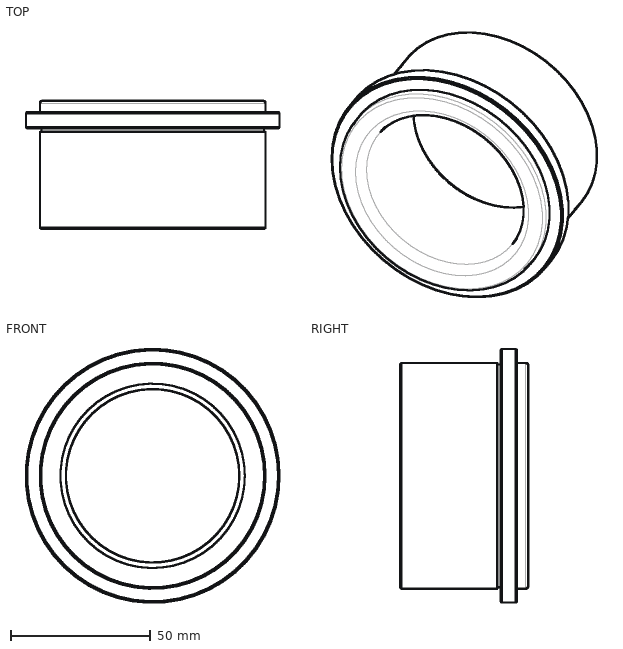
import cadquery as cq

length = 46.0
flange_radius = 45.5
body_radius = 40.5
bore_radius = 31.0

flange_width = 6.0
spigot_length = 4.0
groove_width = 1.0
groove_depth = 0.55
groove_slope = 0.3

flange_chamfer = 0.55
body_chamfer = 0.55
spigot_fillet = 1.0
bore_chamfer = 2.0
bore_fillet = 3.0

front_y = -length / 2
back_y = length / 2
flange_back_y = back_y - spigot_length
flange_front_y = flange_back_y - flange_width


def disc(radius, start_y, end_y):
    """Solid cylinder about the Y axis between two Y positions."""
    plane = cq.Workplane("XZ", origin=(0, end_y, 0))
    return plane.circle(radius).extrude(end_y - start_y)


body = disc(body_radius, front_y, flange_front_y - groove_width)
body = body.faces("<Y").edges().chamfer(body_chamfer)
body = body.faces(">Y").edges().chamfer(groove_slope, groove_depth)
groove_floor = disc(body_radius - groove_depth, flange_front_y - groove_width, flange_front_y)
flange = disc(flange_radius, flange_front_y, flange_back_y)
flange = flange.faces("<Y or >Y").edges().chamfer(flange_chamfer)
spigot = disc(body_radius, flange_back_y, back_y)
spigot = spigot.faces(">Y").edges().fillet(spigot_fillet)
bushing = body.union(groove_floor).union(flange).union(spigot)

bushing = bushing.cut(disc(bore_radius, front_y, back_y))
innermost = cq.selectors.RadiusNthSelector(0)
bushing = bushing.faces("<Y").edges(innermost).chamfer(bore_chamfer)
result = bushing.faces(">Y").edges(innermost).fillet(bore_fillet)